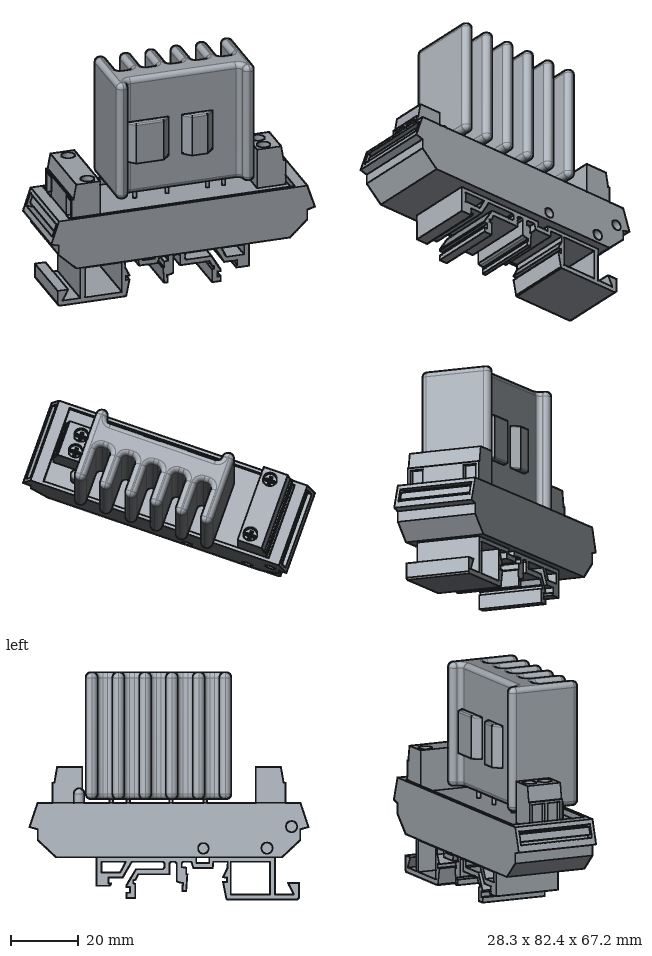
import cadquery as cq
import math


housing_width = 25.55
housing_length = 82.4
housing_bottom = 12.5
housing_top = 28.6
shoulder_y = 38.8
flank_tip_z = 21.4
flank_root_z = 20.8
bevel_start_z = 17.6
bevel_end_y = 33.4

tray_wall = 1.1
tray_width = housing_width - 2 * tray_wall
tray_half_length = 35.2
tray_floor = 26.7

slot_top = 27.3
slot_bottom = 23.4
slot_depth = 2.7
slot_rib_top = 26.3
slot_rib_bottom = 24.15
slot_rib_height = 1.65

side_hole_depth = 3.3
side_holes = [(-36.2, 21.6, 1.65), (-28.9, 15.25, 1.65), (-10.1, 15.2, 1.6)]

terminal_top = 39.2
terminal_inner_y = 25.55
terminal_outer_y = 34.45
terminal_slope_foot_y = 33.9
terminal_slope_head_y = 33.05
terminal_step_z = 34.5
front_terminal_pitch = 17.5
rear_terminal_width = 10.8
rear_terminal_pitch = 5.0
rear_terminal_x = 0.4

entry_width = 4.0
entry_depth = 1.6
entry_top = 33.8
entry_bottom = 27.35
screw_y = 28.5
screw_radius = 2.1
screw_sink = 2.2
drive_slot_width = 0.6
drive_slot_depth = 0.5
drive_cross_span = 2.6
drive_cross_width = 0.8
drive_cross_depth = 1.0
drive_cross_taper = 15

relay_bottom = 29.7
relay_top = 67.15
fin_count = 6
fin_row_length = 39.5
fin_thickness = 3.55
fin_tip_flat = 0.02
fin_tip_radius = (fin_thickness - fin_tip_flat) / 2
first_fin_y = -16.65
fin_tip_x = -15.5
end_fin_back_x = 7.0
web_front_x = -3.7
web_back_x = 3.6
fin_root_radius = 1.5
relay_edge_radius = 1.6

pads = [(-14.7, -1.3), (2.7, 12.4)]
pad_height = 2.4
pad_bottom = 40.3
pad_top = 53.3
pad_edge_radius = 0.4

pin_radius = 0.535
pin_positions_y = [17.05, 12.0, -0.6, -10.7]
lamp_x = -7.4
lamp_y = 26.5
lamp_radius = 1.6
lamp_shoulder_z = 31.3

foot_min_x = -10.1
foot_width = 20.5
foot_plate_bottom = 11.2
foot_wall = 1.6


def extrude_across(points, width, start_x):
    """Extrude an outline of (y, z) points along X from start_x."""
    return cq.Workplane("YZ", origin=(start_x, 0, 0)).polyline(points).close().extrude(width)


def box_between(x_range, y_range, z_range):
    """Box given by its lower and upper limit on each axis."""
    low, high = zip(x_range, y_range, z_range)
    size = [b - a for a, b in zip(low, high)]
    return cq.Workplane("XY").box(*size, centered=False).translate(low)


def upright_cylinder(x, y, radius, bottom, top):
    return cq.Workplane("XY", origin=(x, y, bottom)).circle(radius).extrude(top - bottom)


def half_turn(shape):
    """Turn a shape from the -Y end to the +Y end."""
    return shape.rotate((0, 0, 0), (0, 0, 1), 180)


flank_lean = (housing_length / 2 - shoulder_y) / (housing_top - flank_tip_z)
flank_angle = math.atan(flank_lean)


def flank_y(z, inset=0.0):
    """Y of the sloped -Y end at height z, moved inward horizontally by inset."""
    return -shoulder_y - flank_lean * (housing_top - z) + inset


def flank_square_in(y, z, distance):
    """Point reached by moving into the housing square to the sloped -Y end."""
    return (y + distance * math.cos(flank_angle), z - distance * math.sin(flank_angle))


def make_marker_slot():
    """Slot in the sloped -Y end, with a rib standing on its floor."""
    square_depth = slot_depth * math.cos(flank_angle)
    rib_inset = slot_depth - slot_rib_height / math.cos(flank_angle)
    rib_foot = (flank_y(slot_rib_bottom, rib_inset), slot_rib_bottom)
    points = [
        (flank_y(slot_top), slot_top),
        (flank_y(slot_top, slot_depth), slot_top),
        (flank_y(slot_rib_top, slot_depth), slot_rib_top),
        (flank_y(slot_rib_top, rib_inset), slot_rib_top),
        rib_foot,
        flank_square_in(*rib_foot, slot_rib_height),
        flank_square_in(flank_y(slot_bottom), slot_bottom, square_depth),
        (flank_y(slot_bottom), slot_bottom),
    ]
    return extrude_across(points, tray_width, -tray_width / 2)


def make_housing():
    half_outline = [
        (shoulder_y, housing_top),
        (housing_length / 2, flank_tip_z),
        (shoulder_y, flank_root_z),
        (shoulder_y, bevel_start_z),
        (bevel_end_y, housing_bottom),
    ]
    mirrored_half = [(-y, z) for y, z in reversed(half_outline)]
    body = extrude_across(half_outline + mirrored_half, housing_width, -housing_width / 2)

    tray = box_between(
        (-tray_width / 2, tray_width / 2),
        (-tray_half_length, tray_half_length),
        (tray_floor, housing_top),
    )
    slot = make_marker_slot()
    body = body.cut(tray).cut(slot).cut(half_turn(slot))

    side_face = cq.Workplane("YZ", origin=(-housing_width / 2, 0, 0))
    for y, z, radius in side_holes:
        body = body.cut(side_face.center(y, z).circle(radius).extrude(side_hole_depth))
    return body


def make_screw_pocket(x):
    """Sunk screw opening with a slot and a cross recess in the screw head."""
    head_z = terminal_top - screw_sink
    head = cq.Workplane("XY", origin=(x, -screw_y, head_z))
    opening = head.circle(screw_radius).extrude(screw_sink)
    drive_slot = head.rect(drive_slot_width, 2 * screw_radius).extrude(-drive_slot_depth)
    drive_slot = drive_slot.intersect(head.circle(screw_radius).extrude(-drive_slot_depth))
    pocket = opening.union(drive_slot)
    for size_x, size_y in (
        (drive_cross_span, drive_cross_width),
        (drive_cross_width, drive_cross_span),
    ):
        arm = head.rect(size_x, size_y).extrude(-drive_cross_depth, taper=drive_cross_taper)
        pocket = pocket.union(arm)
    return pocket


def make_terminal_block(width, pitch):
    """Two-pole terminal block at the -Y end, centred on X = 0."""
    outline = [
        (-terminal_inner_y, tray_floor),
        (-terminal_inner_y, terminal_top),
        (-terminal_slope_head_y, terminal_top),
        (-terminal_slope_foot_y, terminal_step_z),
        (-terminal_outer_y, terminal_step_z),
        (-terminal_outer_y, tray_floor),
    ]
    block = extrude_across(outline, width, -width / 2)
    for x in (-pitch / 2, pitch / 2):
        entry = box_between(
            (x - entry_width / 2, x + entry_width / 2),
            (-terminal_outer_y, -terminal_outer_y + entry_depth),
            (entry_bottom, entry_top),
        )
        block = block.cut(entry).cut(make_screw_pocket(x))
    return block


def make_relay():
    """Web with a row of fins on -X; the two end fins run past the web on +X."""
    height = relay_top - relay_bottom
    fin_pitch = fin_row_length / (fin_count - 1)
    fin_positions = [first_fin_y + i * fin_pitch for i in range(fin_count)]
    first_y, last_y = fin_positions[0], fin_positions[-1]
    base = cq.Workplane("XY", origin=(0, 0, relay_bottom))

    relay = box_between((web_front_x, web_back_x), (first_y, last_y), (relay_bottom, relay_top))
    for y in fin_positions:
        is_end_fin = y in (first_y, last_y)
        back_x = end_fin_back_x if is_end_fin else 0.0
        length = back_x - fin_tip_x
        fin = base.center(fin_tip_x + length / 2, y).rect(length, fin_thickness).extrude(height)
        rounded_ends = "|Z" if is_end_fin else "|Z and <X"
        fin = fin.edges(rounded_ends).fillet(fin_tip_radius)
        relay = relay.union(fin)

    margin = fin_root_radius / 2
    corner_zone = cq.selectors.BoxSelector(
        (web_front_x - margin, first_y, relay_bottom),
        (web_back_x + margin, last_y, relay_top),
    )
    relay = relay.edges("|Z").edges(corner_zone).fillet(fin_root_radius)
    return relay.faces("<Z or >Z").edges().fillet(relay_edge_radius)


def make_pad(start_y, end_y):
    """Raised pad with sloped ends on the back of the relay web."""
    points = [
        (web_back_x, start_y),
        (web_back_x + pad_height, start_y + pad_height),
        (web_back_x + pad_height, end_y - pad_height),
        (web_back_x, end_y),
    ]
    pad = cq.Workplane("XY", origin=(0, 0, pad_bottom)).polyline(points).close()
    pad = pad.extrude(pad_top - pad_bottom)
    return pad.faces("<Z or >Z").edges().fillet(pad_edge_radius)


def make_lamp():
    stem = upright_cylinder(lamp_x, lamp_y, lamp_radius, tray_floor, lamp_shoulder_z)
    dome = cq.Workplane("XY", origin=(lamp_x, lamp_y, lamp_shoulder_z)).sphere(lamp_radius)
    return stem.union(dome)


def make_rail_foot():
    """Constant section with the clips for the mounting rails."""
    plate = foot_plate_bottom
    outline = [
        (21.4, housing_bottom), (21.4, 4.1), (17.5, 4.1), (17.0, 4.9), (17.8, 4.9), (17.8, 6.5),
        (13.7, 6.5), (11.0, plate),
        (1.8, plate), (1.4, 10.8), (1.4, 9.5), (1.8, 9.1), (9.7, 9.1), (12.6, 4.2), (12.6, 3.7),
        (11.5, 3.7), (11.5, 2.1), (12.6, 2.1), (12.6, 0.5), (9.9, 0.5), (9.9, 4.7), (10.55, 4.9),
        (10.55, 5.7), (9.9, 5.85), (9.1, 7.5), (-0.2, 7.5), (-0.2, 10.7), (-0.7, plate),
        (-1.7, plate), (-2.2, 10.7), (-2.2, 5.4), (-3.0, 5.1), (-4.2, 4.9), (-4.2, 4.2), (-3.95, 4.2),
        (-3.95, 2.55), (-5.1, 2.55), (-5.4, 7.4), (-5.6, 7.6), (-5.1, 7.6), (-5.1, 9.5), (-3.8, 9.6),
        (-3.8, 10.9), (-4.2, plate),
        (-6.6, plate), (-7.2, 9.3), (-12.9, 9.3), (-13.1, plate),
        (-17.3, plate), (-17.2, 9.3), (-15.9, 6.6), (-17.05, 6.5), (-17.05, 5.3), (-15.9, 5.3),
        (-16.9, 0.3), (-17.1, 0.0), (-37.8, 0.0), (-38.4, 0.6), (-38.4, 4.95), (-35.1, 4.95),
        (-36.8, foot_wall), (-31.3, foot_wall), (-31.3, housing_bottom),
    ]
    leg_window = [(19.85, plate), (12.8, plate), (14.4, 8.1), (19.85, 8.1)]
    bracket_window = [(-8.1, housing_bottom), (-8.1, 10.9), (-11.9, 10.9), (-11.9, housing_bottom)]
    box_window = [(-18.3, plate), (-18.3, foot_wall), (-29.75, foot_wall), (-29.75, plate)]

    foot = extrude_across(outline, foot_width, foot_min_x)
    for window in (leg_window, bracket_window, box_window):
        foot = foot.cut(extrude_across(window, foot_width, foot_min_x))
    return foot


front_terminal = make_terminal_block(tray_width, front_terminal_pitch)
rear_terminal = half_turn(make_terminal_block(rear_terminal_width, rear_terminal_pitch))
rear_terminal = rear_terminal.translate((rear_terminal_x, 0, 0))

result = make_housing().union(make_rail_foot()).union(front_terminal).union(rear_terminal)
result = result.union(make_lamp()).union(make_relay())
pin_top = relay_bottom + relay_edge_radius
for pin_y in pin_positions_y:
    result = result.union(upright_cylinder(0, pin_y, pin_radius, tray_floor, pin_top))
for pad_start, pad_end in pads:
    result = result.union(make_pad(pad_start, pad_end))